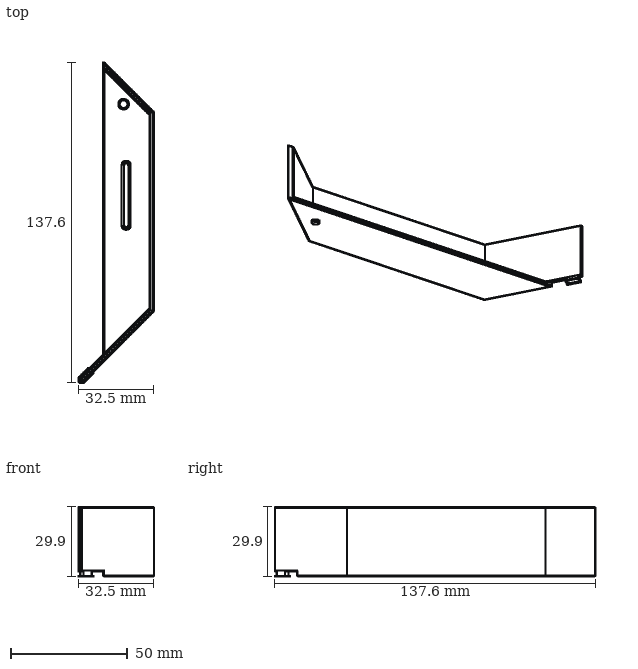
import cadquery as cq
import math

HEIGHT = 29.9
DEPTH = 21.9
WALL = 2.0
EDGE = 0.5
FRONT_Y = 9.1
BACK_Y = 137.9

DIAGONAL = math.sqrt(2)
INNER_FRONT_Y = FRONT_Y + WALL * DIAGONAL
INNER_BACK_Y = BACK_Y - WALL * DIAGONAL

PAD_LENGTH = 6.2
PAD_WIDTH = 3.0
PAD_THICKNESS = 0.2
PAD_START = 0.99
POST_MARGIN = 0.5
ARM_TIP_X = -9.5

HOLE_DIAMETER = 3.5
HOLE_CENTER = (8.8, 119.5)

RIB_LENGTH = 29.6
RIB_WIDTH = 3.9
RIB_HEIGHT = 1.5
RIB_CHAMFER = 1.03
RIB_CENTER = (9.9, 80.5)

TOLERANCE = 0.01


def prism(points, bottom, top):
    """Upright prism between two heights."""
    return cq.Workplane("XY").workplane(offset=bottom).polyline(points).close().extrude(top - bottom)


def along_arm(length, width, bottom, top, start):
    """Block centred on the arm, beginning `start` from its tip."""
    block = cq.Workplane("XY").box(length, width, top - bottom, centered=(False, True, False))
    block = block.translate((start, WALL / 2, bottom))
    block = block.rotate((0, 0, 0), (0, 0, 1), 45)
    return block.translate((ARM_TIP_X, ARM_TIP_X + FRONT_Y, 0))


def make_shell():
    outline = [(0, FRONT_Y), (DEPTH, FRONT_Y + DEPTH), (DEPTH, BACK_Y - DEPTH), (0, BACK_Y)]
    inner_x = DEPTH - WALL
    cavity = [
        (0, INNER_FRONT_Y),
        (inner_x, INNER_FRONT_Y + inner_x),
        (inner_x, INNER_BACK_Y - inner_x),
        (0, INNER_BACK_Y),
    ]
    arm_length = (DEPTH / 2 - ARM_TIP_X) * DIAGONAL
    arm = along_arm(arm_length, WALL, WALL, HEIGHT, 0)
    shell = prism(outline, 0, HEIGHT).cut(prism(cavity, WALL, HEIGHT))
    return shell.union(arm).clean()


def is_exposed(edge):
    """True for the rim, underside, open-side and arm-tip edges."""
    box = edge.BoundingBox()
    on_rim = box.zmin > HEIGHT - TOLERANCE
    on_underside = box.zmax < TOLERANCE
    on_open_side = max(abs(box.xmin), abs(box.xmax)) < TOLERANCE
    on_arm = box.xmax < TOLERANCE and box.xmin < -TOLERANCE
    at_junction = box.zmax < WALL + TOLERANCE and abs(box.ymax - INNER_FRONT_Y) < TOLERANCE
    return on_rim or on_underside or ((on_open_side or on_arm) and not at_junction)


def chamfer_edges(shell):
    edges = [edge for edge in shell.edges().vals() if is_exposed(edge)]
    return shell.newObject(edges).chamfer(EDGE)


def make_foot():
    pad = along_arm(PAD_LENGTH, PAD_WIDTH, 0, PAD_THICKNESS, PAD_START)
    post_length = PAD_LENGTH - 2 * POST_MARGIN
    post_width = PAD_WIDTH - 2 * POST_MARGIN
    return pad.union(along_arm(post_length, post_width, 0, WALL + EDGE, PAD_START + POST_MARGIN))


def make_rib():
    rib = cq.Workplane("XY").center(*RIB_CENTER).slot2D(RIB_LENGTH, RIB_WIDTH, 90).extrude(WALL + RIB_HEIGHT)
    return rib.faces(">Z").chamfer(RIB_CHAMFER)


def make_hole():
    radius = HOLE_DIAMETER / 2
    bore = cq.Workplane("XY").center(*HOLE_CENTER).circle(radius).extrude(WALL)
    countersink = cq.Solid.makeCone(radius, radius + EDGE, EDGE, cq.Vector(*HOLE_CENTER, WALL - EDGE))
    return bore.union(cq.Workplane(countersink))


result = chamfer_edges(make_shell()).union(make_foot()).union(make_rib()).cut(make_hole())